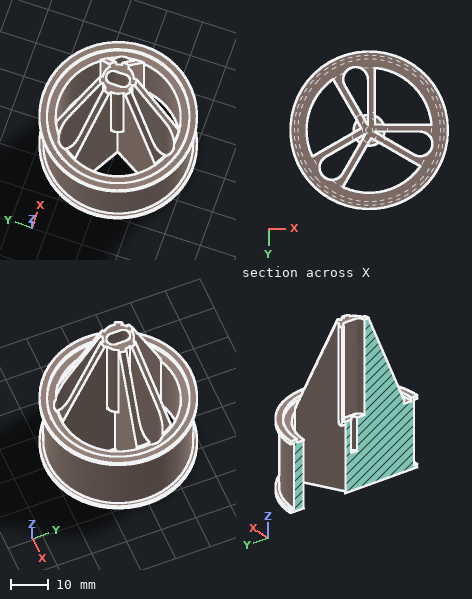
import cadquery as cq
import math

total_height = 51.0
ring_height = 22.0
flange_diameter = 42.0
flange_thickness = 1.0
body_diameter = 40.0
bore_diameter = 33.3
recess_diameter = 38.0
recess_depth = 1.0
recess_floor = ring_height - recess_depth

pair_count = 3
pair_pitch = 360.0 / pair_count
pair_spread = 30.0
rib_outer_offset = 1.55
cone_top_radius = 4.85
cone_base_radius = bore_diameter / 2

opening_radius = 3.25
opening_center = 14.0

hub_diameter = 8.3
socket_width = 3.6
socket_length = 6.6
socket_floor = ring_height
shaft_hole_diameter = 1.85
shaft_hole_depth = 10.2


def disc(diameter, bottom, top):
    return cq.Workplane("XY").workplane(offset=bottom).circle(diameter / 2).extrude(top - bottom)


def polar(radius, degrees):
    angle = math.radians(degrees)
    return (radius * math.cos(angle), radius * math.sin(angle))


def make_ring():
    """Flanged tube with a shallow recess in its upper end."""
    ring = disc(body_diameter, 0, ring_height)
    ring = ring.union(disc(flange_diameter, 0, flange_thickness))
    ring = ring.union(disc(flange_diameter, ring_height - flange_thickness, ring_height))
    ring = ring.cut(disc(bore_diameter, 0, ring_height))
    return ring.cut(disc(recess_diameter, recess_floor, ring_height))


def make_envelope():
    """Bore-sized cylinder topped by a cone, which bounds the ribs."""
    return (
        cq.Workplane("XZ")
        .polyline([
            (0, 0),
            (cone_base_radius, 0),
            (cone_base_radius, ring_height),
            (cone_top_radius, total_height),
            (0, total_height),
        ])
        .close()
        .revolve(360, (0, 0, 0), (0, 1, 0))
    )


def make_rib_pair():
    """Wedge along +X whose sides lie outside the two rib lines by the rib offset."""
    half_spread = pair_spread / 2
    apex = (-rib_outer_offset / math.sin(math.radians(half_spread)), 0)
    reach = body_diameter
    far_x = apex[0] + reach
    far_y = reach * math.tan(math.radians(half_spread))
    wedge = cq.Workplane("XY").polyline([apex, (far_x, -far_y), (far_x, far_y)]).close()
    near_side = cq.Workplane("XY").box(
        reach, 2 * reach, total_height, centered=(False, True, False)
    )
    return wedge.extrude(total_height).intersect(near_side)


def make_opening():
    """Teardrop along +X: a round outer end with sides parallel to the rib lines."""
    half_spread = pair_spread / 2
    tip = opening_center - opening_radius / math.sin(math.radians(half_spread))
    tangent_x, tangent_y = polar(opening_radius, 90 + half_spread)
    return (
        cq.Workplane("XY")
        .moveTo(tip, 0)
        .lineTo(opening_center + tangent_x, -tangent_y)
        .threePointArc(
            (opening_center + opening_radius, 0),
            (opening_center + tangent_x, tangent_y),
        )
        .close()
        .extrude(total_height)
    )


ribs = None
openings = []
for index in range(pair_count):
    angle = pair_spread / 2 + index * pair_pitch
    pair = make_rib_pair().rotate((0, 0, 0), (0, 0, 1), angle)
    ribs = pair if ribs is None else ribs.union(pair)
    openings.append(make_opening().rotate((0, 0, 0), (0, 0, 1), angle))

result = make_ring().union(ribs.intersect(make_envelope()))
for opening in openings:
    result = result.cut(opening)

result = result.union(disc(hub_diameter, recess_floor, total_height))
socket = (
    cq.Workplane("XY")
    .workplane(offset=socket_floor)
    .slot2D(socket_length, socket_width, 90)
    .extrude(total_height - socket_floor)
)
shaft_hole = disc(shaft_hole_diameter, socket_floor - shaft_hole_depth, socket_floor)
result = result.cut(socket).cut(shaft_hole)